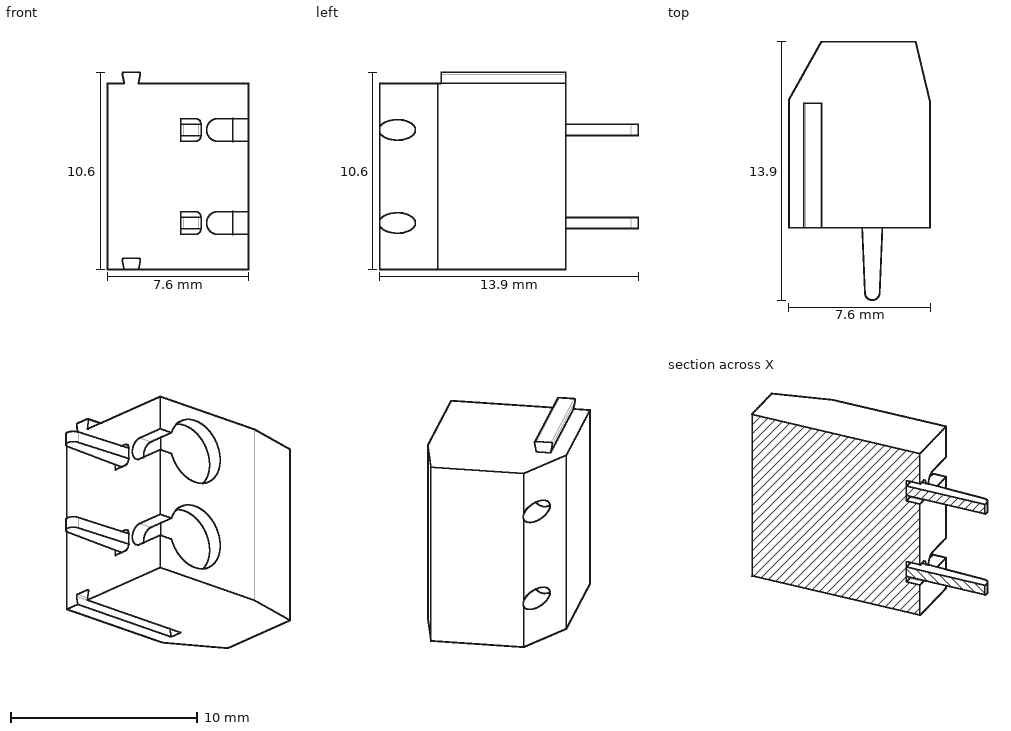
import cadquery as cq

POLE_COUNT = 2
PITCH = 5.0
WIDTH = 7.6
DEPTH = 10.0
HEIGHT = POLE_COUNT * PITCH
MID_HEIGHT = PITCH / 2

LEFT_SLOPE_WIDTH = 1.75
LEFT_SLOPE_DEPTH = 3.13
RIGHT_SLOPE_WIDTH = 0.78
RIGHT_SLOPE_DEPTH = 3.25

RIB_CENTER_X = 1.29
RIB_BASE_WIDTH = 0.78
RIB_TOP_WIDTH = 1.01
RIB_HEIGHT = 0.6
RIB_LENGTH = 6.7
RIB_EDGE_RADIUS = 0.08

RELEASE_DIAMETER = 1.1
RELEASE_CENTER_X = 1.22
RELEASE_DEPTH = LEFT_SLOPE_DEPTH

SLOT_HEIGHT = 1.22
SLOT_DEPTH = 0.8
WIRE_SLOT_START_X = 5.33
WIRE_ENTRY_DIAMETER = 3.6
WIRE_ENTRY_DEPTH = 0.86
WIRE_ENTRY_CENTER_Y = SLOT_DEPTH + ((WIRE_ENTRY_DIAMETER / 2) ** 2 - (SLOT_HEIGHT / 2) ** 2) ** 0.5

PIN_LENGTH = 3.89
PIN_CENTER_X = 4.49
PIN_ROOT_WIDTH = 1.1
PIN_TIP_WIDTH = 0.8
PIN_THICKNESS = 0.61


def make_rib():
    """Dovetail bar standing on the plane Z = 0, flush with the front face."""
    half_base = RIB_BASE_WIDTH / 2
    half_top = RIB_TOP_WIDTH / 2
    profile = [
        (RIB_CENTER_X - half_base, 0),
        (RIB_CENTER_X + half_base, 0),
        (RIB_CENTER_X + half_top, RIB_HEIGHT),
        (RIB_CENTER_X - half_top, RIB_HEIGHT),
    ]
    bar = cq.Workplane("XZ").polyline(profile).close().extrude(-RIB_LENGTH)
    return bar.faces(">Z").edges("|Y").fillet(RIB_EDGE_RADIUS)


def make_block():
    """Plain housing block with the two sloped back corners."""
    outline = [
        (0, 0),
        (WIDTH, 0),
        (WIDTH, DEPTH - RIGHT_SLOPE_DEPTH),
        (WIDTH - RIGHT_SLOPE_WIDTH, DEPTH),
        (LEFT_SLOPE_WIDTH, DEPTH),
        (0, DEPTH - LEFT_SLOPE_DEPTH),
    ]
    return cq.Workplane("XY").polyline(outline).close().extrude(HEIGHT)


def make_release_hole():
    """Blind round hole along Y, entering from the back."""
    return (
        cq.Workplane("XZ", origin=(RELEASE_CENTER_X, DEPTH, MID_HEIGHT))
        .circle(RELEASE_DIAMETER / 2)
        .extrude(RELEASE_DEPTH)
    )


def make_pin_slot():
    """Pocket in the front face, as wide as the pin root, rounded above and below its right side."""
    pocket = (
        cq.Workplane("XZ", origin=(PIN_CENTER_X, 0, MID_HEIGHT))
        .rect(PIN_ROOT_WIDTH, SLOT_HEIGHT)
        .extrude(-SLOT_DEPTH)
    )
    corner_radius = (SLOT_HEIGHT - PIN_THICKNESS) / 2
    return pocket.faces(">X").edges("|Y").fillet(corner_radius)


def make_wire_slot():
    """Front-face pocket with a half-round left end, open to the right side."""
    end_radius = SLOT_HEIGHT / 2
    arc_x = WIRE_SLOT_START_X + end_radius
    return (
        cq.Workplane("XZ", origin=(0, 0, MID_HEIGHT))
        .moveTo(WIDTH, -end_radius)
        .lineTo(WIDTH, end_radius)
        .lineTo(arc_x, end_radius)
        .threePointArc((WIRE_SLOT_START_X, 0), (arc_x, -end_radius))
        .close()
        .extrude(-SLOT_DEPTH)
    )


def make_wire_entry():
    """Round blind recess in the right side, running along X into the wire slot."""
    return (
        cq.Workplane("YZ", origin=(WIDTH, WIRE_ENTRY_CENTER_Y, MID_HEIGHT))
        .circle(WIRE_ENTRY_DIAMETER / 2)
        .extrude(-WIRE_ENTRY_DEPTH)
    )


def make_housing():
    """One housing for all poles, with the rib on top and the matching groove underneath."""
    rib = make_rib()
    housing = make_block().cut(rib).union(rib.translate((0, 0, HEIGHT)))
    openings = (make_release_hole(), make_pin_slot(), make_wire_slot(), make_wire_entry())
    for pole in range(POLE_COUNT):
        for opening in openings:
            housing = housing.cut(opening.translate((0, 0, pole * PITCH)))
    return housing


def make_pin(base_z):
    """Solder pin of one pole, seated against the back of its slot."""
    half_root = PIN_ROOT_WIDTH / 2
    tip_radius = PIN_TIP_WIDTH / 2
    tip_arc_y = tip_radius - PIN_LENGTH
    return (
        cq.Workplane("XY", origin=(PIN_CENTER_X, 0, base_z + MID_HEIGHT))
        .moveTo(-half_root, SLOT_DEPTH)
        .lineTo(-half_root, 0)
        .lineTo(-tip_radius, tip_arc_y)
        .threePointArc((0, -PIN_LENGTH), (tip_radius, tip_arc_y))
        .lineTo(half_root, 0)
        .lineTo(half_root, SLOT_DEPTH)
        .close()
        .extrude(PIN_THICKNESS / 2, both=True)
    )


housing = make_housing()
pins = [make_pin(pole * PITCH) for pole in range(POLE_COUNT)]

result = cq.Compound.makeCompound([housing.val(), *[pin.val() for pin in pins]])